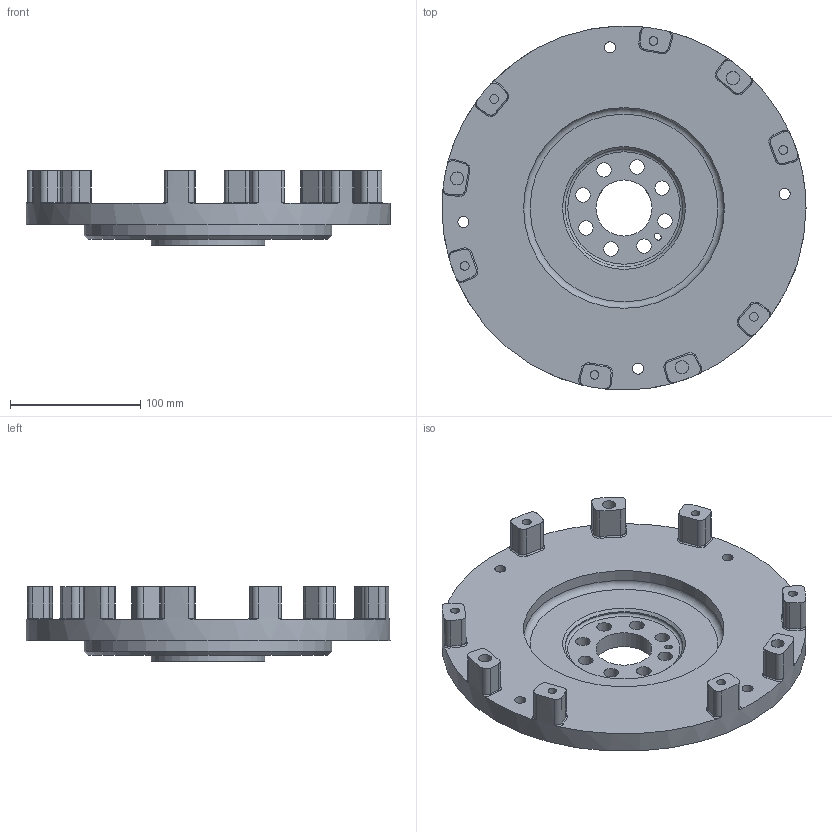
import cadquery as cq
import math


boss_diameter = 87.0
boss_height = 4.5
hub_diameter = 190.0
hub_height = 11.0
hub_chamfer = 3.0
flange_diameter = 279.2
flange_thickness = 16.5

outer_recess_diameter = 154.0
outer_recess_depth = 14.0
outer_recess_fillet = 5.0
inner_recess_diameter = 90.22
inner_recess_depth = 19.0
inner_recess_fillet = 2.0
inner_recess_chamfer = 2.0
bore_diameter = 43.02

bolt_hole_diameter = 11.12
bolt_circle_radius = 33.0
bolt_count = 8
first_bolt_angle = 27.5
slot_length = 6.0
slot_width = 4.2
slot_radius = 34.0
slot_angle = -40.5

rim_hole_diameter = 8.5
rim_hole_circle_radius = 123.7
rim_hole_count = 4
first_rim_hole_angle = 5.0

post_height = 25.0
post_inner_radius = 123.0
post_corner_radius = 4.4
post_base_fillet = 1.0
post_trim_allowance = 0.02
post_hole_circle_radius = 130.0
post_hole_depth = 20.0
post_group_count = 3
first_group_angle = 50.0
post_pitch_angle = 30.0
center_post_hole_diameter = 9.98
center_post_half_angle = 5.5
side_post_hole_diameter = 6.7
side_post_near_angle = 5.5
side_post_far_angle = 4.4

flange_bottom = boss_height + hub_height
flange_top = flange_bottom + flange_thickness
post_top = flange_top + post_height
flange_radius = flange_diameter / 2
blank_radius = flange_radius + 2 * post_base_fillet
group_angles = [first_group_angle + index * 360 / post_group_count for index in range(post_group_count)]
post_outer_radius = flange_radius + post_trim_allowance
level_tolerance = 0.01


def polar(radius, angle):
    """Point at a radius and an angle in degrees about the Z axis."""
    return (radius * math.cos(math.radians(angle)), radius * math.sin(math.radians(angle)))


def turned_body():
    """Revolved boss, hub and stepped recess, with the flange left oversize for trimming."""
    hub_radius = hub_diameter / 2
    boss_radius = boss_diameter / 2
    bore_radius = bore_diameter / 2
    outer_wall = outer_recess_diameter / 2
    outer_floor = flange_top - outer_recess_depth
    inner_wall = inner_recess_diameter / 2
    inner_floor = flange_top - inner_recess_depth
    diagonal = math.sqrt(0.5)
    outer_mid = outer_recess_fillet * (1 - diagonal)
    inner_mid = inner_recess_fillet * (1 - diagonal)
    section = (
        cq.Workplane("XZ")
        .moveTo(bore_radius, 0)
        .lineTo(boss_radius, 0)
        .lineTo(boss_radius, boss_height)
        .lineTo(hub_radius - hub_chamfer, boss_height)
        .lineTo(hub_radius, boss_height + hub_chamfer)
        .lineTo(hub_radius, flange_bottom)
        .lineTo(blank_radius, flange_bottom)
        .lineTo(blank_radius, flange_top)
        .lineTo(outer_wall, flange_top)
        .lineTo(outer_wall, outer_floor + outer_recess_fillet)
        .threePointArc(
            (outer_wall - outer_mid, outer_floor + outer_mid),
            (outer_wall - outer_recess_fillet, outer_floor),
        )
        .lineTo(inner_wall + inner_recess_chamfer, outer_floor)
        .lineTo(inner_wall, outer_floor - inner_recess_chamfer)
        .lineTo(inner_wall, inner_floor + inner_recess_fillet)
        .threePointArc(
            (inner_wall - inner_mid, inner_floor + inner_mid),
            (inner_wall - inner_recess_fillet, inner_floor),
        )
        .lineTo(bore_radius, inner_floor)
        .close()
    )
    return section.revolve(360, (0, 0, 0), (0, 1, 0))


def post_column(angle, clockwise_angle, counter_angle):
    """Rim post with radial sides and rounded corners, rooted in the flange bottom."""
    start = angle - clockwise_angle
    end = angle + counter_angle
    middle = (start + end) / 2
    return (
        cq.Workplane("XY", origin=(0, 0, flange_bottom))
        .moveTo(*polar(post_inner_radius, start))
        .lineTo(*polar(post_outer_radius, start))
        .threePointArc(polar(post_outer_radius, middle), polar(post_outer_radius, end))
        .lineTo(*polar(post_inner_radius, end))
        .close()
        .extrude(post_top - flange_bottom)
        .edges("|Z")
        .fillet(post_corner_radius)
    )


def is_post_foot_edge(edge):
    """True for an edge where a post meets the flange top, false for circles about the Z axis."""
    center = edge.Center()
    on_flange_top = abs(center.z - flange_top) < level_tolerance
    return on_flange_top and math.hypot(center.x, center.y) > post_inner_radius / 2


def add_posts(body):
    """Add all posts and fillet their feet, then trim the blank back to the flange rim."""
    for group_angle in group_angles:
        before = group_angle - post_pitch_angle
        after = group_angle + post_pitch_angle
        body = body.union(post_column(group_angle, center_post_half_angle, center_post_half_angle))
        body = body.union(post_column(before, side_post_far_angle, side_post_near_angle))
        body = body.union(post_column(after, side_post_near_angle, side_post_far_angle))
    body = body.edges().filter(is_post_foot_edge).fillet(post_base_fillet)
    rim_envelope = cq.Workplane("XY").circle(flange_radius).extrude(post_top)
    return body.intersect(rim_envelope)


def vertical_hole(radius, angle, diameter, top, depth):
    """Cylinder to cut a hole down from a level, placed by radius and angle about the Z axis."""
    center = cq.Workplane("XY", origin=(*polar(radius, angle), top))
    return center.circle(diameter / 2).extrude(-depth)


def cut_post_holes(body):
    """Blind holes in the post tops, larger in the center post of each group."""
    post_holes = (
        (-post_pitch_angle, side_post_hole_diameter),
        (0, center_post_hole_diameter),
        (post_pitch_angle, side_post_hole_diameter),
    )
    for group_angle in group_angles:
        for offset, diameter in post_holes:
            angle = group_angle + offset
            hole = vertical_hole(post_hole_circle_radius, angle, diameter, post_top, post_hole_depth)
            body = body.cut(hole)
    return body


def cut_hole_circle(body, radius, diameter, count, first_angle):
    """Evenly spaced through holes, cut from the flange top down."""
    for index in range(count):
        angle = first_angle + index * 360 / count
        body = body.cut(vertical_hole(radius, angle, diameter, flange_top, flange_top))
    return body


def cut_slot(body):
    """Radial round-ended slot through the hub floor."""
    slot = (
        cq.Workplane("XY")
        .center(*polar(slot_radius, slot_angle))
        .slot2D(slot_length, slot_width, slot_angle)
        .extrude(flange_top)
    )
    return body.cut(slot)


result = turned_body()
result = add_posts(result)
result = cut_post_holes(result)
result = cut_hole_circle(result, bolt_circle_radius, bolt_hole_diameter, bolt_count, first_bolt_angle)
result = cut_hole_circle(
    result, rim_hole_circle_radius, rim_hole_diameter, rim_hole_count, first_rim_hole_angle
)
result = cut_slot(result)